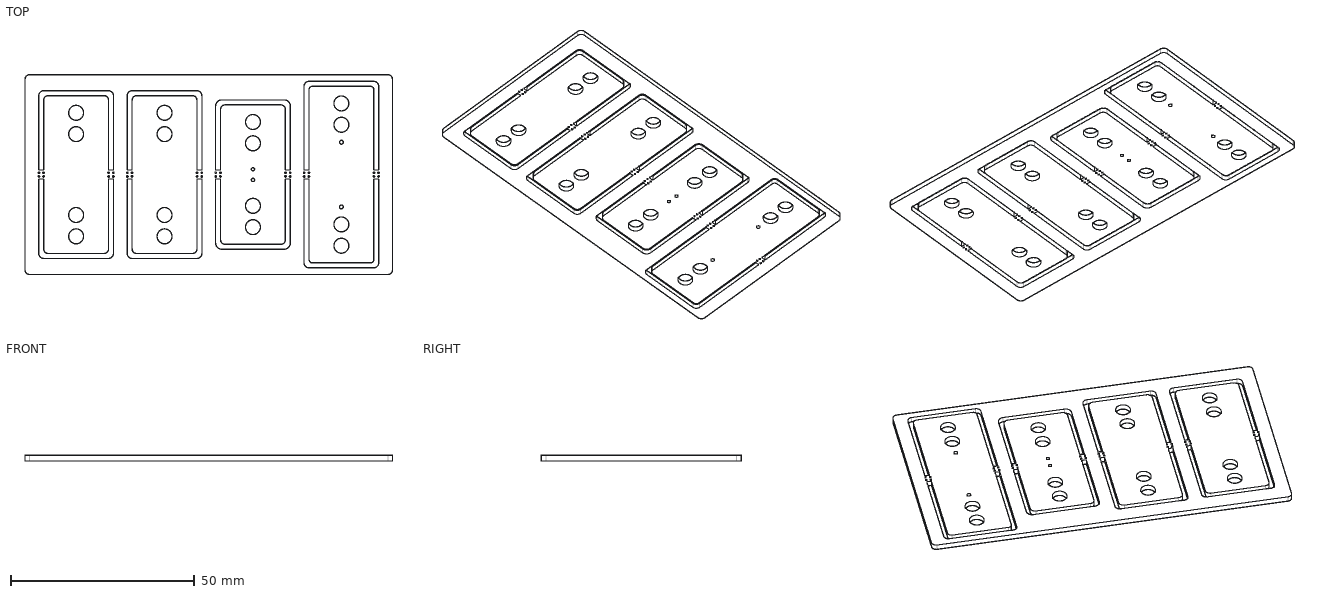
import cadquery as cq

FRAME_LENGTH = 100.3
FRAME_WIDTH = 54.6
THICKNESS = 1.6
FRAME_CORNER_RADIUS = 1.3

PLATE_COUNT = 4
WEB_WIDTH = 3.8
SLOT_LENGTH = (FRAME_LENGTH - (PLATE_COUNT + 1) * WEB_WIDTH) / PLATE_COUNT
PLATE_LENGTH = 17.8
SLOT_GAP = (SLOT_LENGTH - PLATE_LENGTH) / 2
PLATE_PITCH = SLOT_LENGTH + WEB_WIDTH

SCREW_HOLE_DIAMETER = 4.0
SCREW_HOLE_END_DISTANCE = 4.7
SCREW_HOLE_SPACING = 5.8

TAB_WIDTH = 2.5
PERFORATION_DIAMETER = 0.38
PERFORATIONS_PER_ROW = 2
PERFORATION_SPACING = 1.0

PLATES = [
    {"width": 43.1, "plate_radius": 1.3, "slot_radius": 1.3},
    {"width": 43.1, "plate_radius": 1.3, "slot_radius": 1.3},
    {"width": 38.1, "plate_radius": 1.3, "slot_radius": 1.6, "pin_diameter": 0.85, "pin_spacing": 2.9},
    {"width": 48.3, "plate_radius": 1.0, "slot_radius": 1.3, "pin_diameter": 1.0, "pin_spacing": 17.7},
]


def rounded_slab(length, width, radius, x=0.0):
    """Full-thickness rectangle with rounded vertical corners, centred at (x, 0)."""
    slab = cq.Workplane("XY").center(x, 0).rect(length, width).extrude(THICKNESS)
    return slab.edges("|Z").fillet(radius)


def drills(points, diameter):
    """Full-thickness cylinders to be cut out at the given points."""
    return cq.Workplane("XY").pushPoints(points).circle(diameter / 2).extrude(THICKNESS)


def screw_hole_points(x, plate_width):
    outer_y = plate_width / 2 - SCREW_HOLE_END_DISTANCE
    inner_y = outer_y - SCREW_HOLE_SPACING
    return [(x, y) for y in (-outer_y, -inner_y, inner_y, outer_y)]


def perforation_points(x):
    """Rows of holes along the plate edge and the frame edge of both tabs."""
    offsets = (PLATE_LENGTH / 2, SLOT_LENGTH / 2)
    row_start = -(PERFORATIONS_PER_ROW - 1) * PERFORATION_SPACING / 2
    return [
        (x + side * offset, row_start + i * PERFORATION_SPACING)
        for side in (-1, 1)
        for offset in offsets
        for i in range(PERFORATIONS_PER_ROW)
    ]


def add_plate(body, x, plate):
    """Cut the slot around one plate, leaving its tabs, and drill the plate."""
    width = plate["width"]
    slot = rounded_slab(SLOT_LENGTH, width + 2 * SLOT_GAP, plate["slot_radius"], x)
    slot = slot.cut(rounded_slab(PLATE_LENGTH, width, plate["plate_radius"], x))
    tabs = cq.Workplane("XY").center(x, 0).rect(SLOT_LENGTH, TAB_WIDTH).extrude(THICKNESS)
    body = body.cut(slot.cut(tabs))
    body = body.cut(drills(screw_hole_points(x, width), SCREW_HOLE_DIAMETER))
    body = body.cut(drills(perforation_points(x), PERFORATION_DIAMETER))
    if "pin_diameter" in plate:
        pin_y = plate["pin_spacing"] / 2
        body = body.cut(drills([(x, -pin_y), (x, pin_y)], plate["pin_diameter"]))
    return body


result = rounded_slab(FRAME_LENGTH, FRAME_WIDTH, FRAME_CORNER_RADIUS)
for index, plate in enumerate(PLATES):
    plate_x = (index - (PLATE_COUNT - 1) / 2) * PLATE_PITCH
    result = add_plate(result, plate_x, plate)